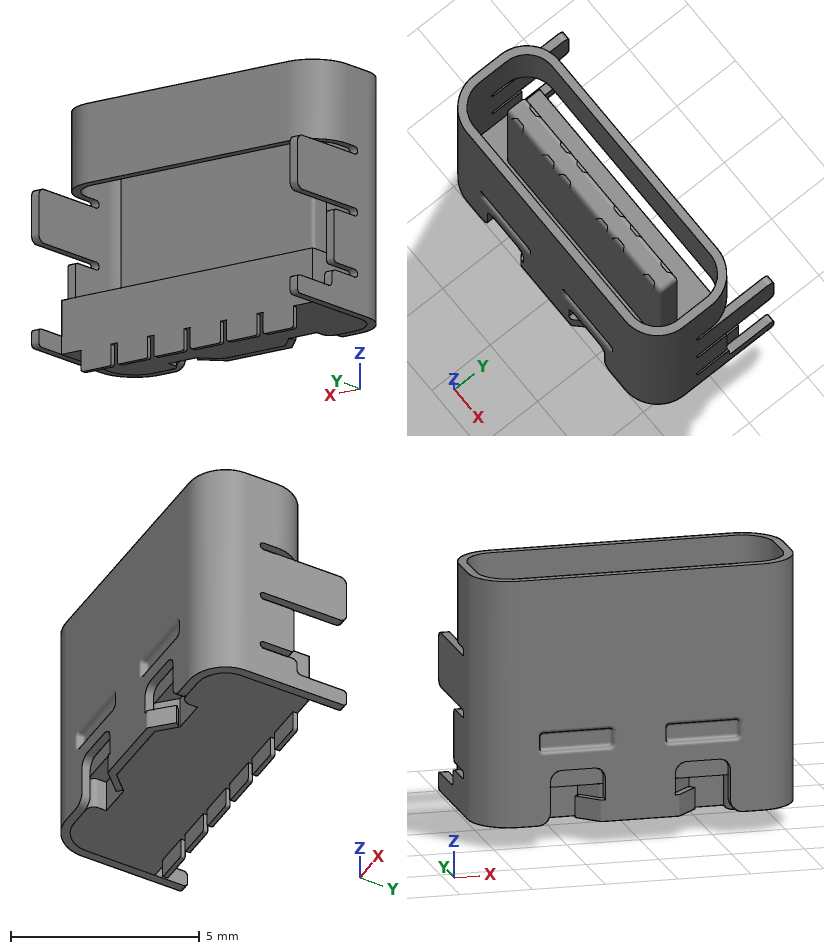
import cadquery as cq
import math

WALL = 0.25
SHELL_WIDTH = 8.9
SHELL_DEPTH = 3.16
SHELL_HEIGHT = 6.8
CORNER_RADIUS = 1.11

BACK_EDGE_Z = 4.6
LEG_REACH = 1.02
UPPER_LEG_BOTTOM = 2.89
UPPER_LEG_RADIUS = 0.22
LOWER_LEG_TOP = 0.51
LOWER_LEG_RADIUS = 0.125
CHEEK_BACK_Y = 1.01
CHEEK_RADIUS = 0.12
FOOT_BACK_Y = 1.095
FOOT_RADIUS = 0.17
LEG_ROOT_RADIUS = 0.125
SLIT_WIDTH = 0.21
SLIT_END_Y = -0.03
LOWER_SLIT_Z = 0.99

DIMPLE_X = 1.735
DIMPLE_Z = 2.28
DIMPLE_LENGTH = 2.21
DIMPLE_HEIGHT = 0.71
DIMPLE_DEPTH = 0.205
DIMPLE_RADIUS = 0.1

NOTCH_INNER_X = 0.96
NOTCH_OUTER_X = 2.47
NOTCH_TOP = 1.495
NOTCH_TOP_RADIUS = 0.32
NOTCH_FOOT_RADIUS = 0.35
TAB_HEIGHT = 0.6
TAB_BEND_X = 1.03
TAB_BEND_RADIUS = 0.09
TAB_TIP_X = 1.65
TAB_THICKNESS = 0.2

BASE_HEIGHT = 1.495
BASE_OVERHANG = 0.03
RECESS_TOP = 0.98
RECESS_BACK_Y = -0.84
RECESS_OUTER_RADIUS = 0.25
RECESS_TAB_RADIUS = 0.11
TONGUE_LENGTH = 6.5
TONGUE_THICKNESS = 0.62
TONGUE_TOP = 6.34
TONGUE_CORNER_RADIUS = 0.1
TONGUE_TIP_RADIUS = 0.125
CONTACT_X = (0.78, 1.48, 2.77)
CONTACT_WIDTH = 0.45
CONTACT_DEPTH = 0.1
CONTACT_TIP_RADIUS = 0.1
PIN_COUNT = 6
PIN_PITCH = 1.22
PIN_WIDTH = 1.015
PIN_LENGTH = 0.6
PIN_THICKNESS = 0.13
PIN_CORNER_RADIUS = 0.07

HALF_WIDTH = SHELL_WIDTH / 2
BACK_Y = SHELL_DEPTH / 2
FRONT_Y = -BACK_Y
INNER_HALF_WIDTH = HALF_WIDTH - WALL
INNER_FRONT_Y = FRONT_Y + WALL
INNER_RADIUS = CORNER_RADIUS - WALL
LEG_BACK_Y = BACK_Y + LEG_REACH
BASE_BACK_Y = BACK_Y + BASE_OVERHANG
DIAGONAL = math.sqrt(0.5)

BEND_END_X = TAB_BEND_X + TAB_BEND_RADIUS * DIAGONAL
BEND_END_Y = FRONT_Y + TAB_BEND_RADIUS * (1 - DIAGONAL)
TAB_INNER_OFFSET = BEND_END_X - BEND_END_Y - 2 * TAB_THICKNESS * DIAGONAL


def mirrored_pair(shape):
    """The +X shape together with its mirror image on the -X side."""
    return shape.union(shape.mirror("YZ"))


def block(x_range, y_range, z_range):
    """Box between the given limits."""
    (x0, x1), (y0, y1), (z0, z1) = x_range, y_range, z_range
    return cq.Workplane("XY").box(x1 - x0, y1 - y0, z1 - z0, centered=False).translate((x0, y0, z0))


def rounded_tube():
    """Full tube with rounded corners, over the whole height."""
    outer = cq.Workplane("XY").rect(SHELL_WIDTH, SHELL_DEPTH).extrude(SHELL_HEIGHT)
    outer = outer.edges("|Z").fillet(CORNER_RADIUS)
    bore = cq.Workplane("XY").rect(2 * INNER_HALF_WIDTH, SHELL_DEPTH - 2 * WALL).extrude(SHELL_HEIGHT)
    return outer.cut(bore.edges("|Z").fillet(INNER_RADIUS))


def side_wall():
    """Flat +X wall below the tube: upper leg, cheek, foot step, lower leg and their web."""
    upper_leg_top = BACK_EDGE_Z - SLIT_WIDTH
    cheek_bottom = LOWER_SLIT_Z + SLIT_WIDTH
    cheek_top = UPPER_LEG_BOTTOM - SLIT_WIDTH
    x_range = (INNER_HALF_WIDTH, HALF_WIDTH)

    upper_leg = block(x_range, (0, LEG_BACK_Y), (UPPER_LEG_BOTTOM, upper_leg_top))
    upper_leg = upper_leg.edges("|X and >Y").fillet(UPPER_LEG_RADIUS)
    cheek = block(x_range, (0, CHEEK_BACK_Y), (cheek_bottom, cheek_top))
    cheek = cheek.edges("|X and >Y").fillet(CHEEK_RADIUS)
    foot = block(x_range, (0, FOOT_BACK_Y), (0, LOWER_SLIT_Z))
    foot = foot.edges("|X and >Y and >Z").fillet(FOOT_RADIUS)
    lower_leg = block(x_range, (0, LEG_BACK_Y), (0, LOWER_LEG_TOP))
    lower_leg = lower_leg.edges("|X and >Y").fillet(LOWER_LEG_RADIUS)
    foot = foot.union(lower_leg)
    leg_root = cq.selectors.NearestToPointSelector((HALF_WIDTH - WALL / 2, FOOT_BACK_Y, LOWER_LEG_TOP))
    foot = foot.edges("|X").edges(leg_root).fillet(LEG_ROOT_RADIUS)
    web = block(x_range, (0, SLIT_END_Y + SLIT_WIDTH / 2), (0, BACK_EDGE_Z))
    return upper_leg.union(cheek).union(foot).union(web)


def slits():
    """Round-ended slits through both side walls, above the foot, cheek and upper leg."""
    radius = SLIT_WIDTH / 2
    centre_y = SLIT_END_Y + radius
    cutter = cq.Workplane("XY")
    for bottom in (LOWER_SLIT_Z, UPPER_LEG_BOTTOM - SLIT_WIDTH, BACK_EDGE_Z - SLIT_WIDTH):
        slot = block((-HALF_WIDTH, HALF_WIDTH), (centre_y, LEG_BACK_Y), (bottom, bottom + SLIT_WIDTH))
        round_end = (
            cq.Workplane("YZ", origin=(-HALF_WIDTH, centre_y, bottom + radius))
            .circle(radius)
            .extrude(SHELL_WIDTH)
        )
        cutter = cutter.union(slot).union(round_end)
    return cutter


def press_dimples(shell):
    """Two blind dimples in the front wall with rounded rims and floors."""
    wall_length = DIMPLE_LENGTH - 2 * DIMPLE_RADIUS
    wall_height = DIMPLE_HEIGHT - 2 * DIMPLE_RADIUS
    for x in (-DIMPLE_X, DIMPLE_X):
        pocket = block(
            (x - wall_length / 2, x + wall_length / 2),
            (FRONT_Y, FRONT_Y + DIMPLE_DEPTH),
            (DIMPLE_Z - wall_height / 2, DIMPLE_Z + wall_height / 2),
        )
        pocket = pocket.edges("|Y or >Y").fillet(DIMPLE_RADIUS)
        shell = shell.cut(pocket)
        rim = cq.selectors.BoxSelector(
            (x - DIMPLE_LENGTH / 2, FRONT_Y - DIMPLE_RADIUS / 2, DIMPLE_Z - DIMPLE_HEIGHT / 2),
            (x + DIMPLE_LENGTH / 2, FRONT_Y + DIMPLE_RADIUS / 2, DIMPLE_Z + DIMPLE_HEIGHT / 2),
        )
        shell = shell.faces("<Y").edges(rim).fillet(DIMPLE_RADIUS)
    return shell


def notch():
    """Cutter for the +X notch, with rounded top and a flared outer foot."""
    y_range = (FRONT_Y, INNER_FRONT_Y)
    opening = block((NOTCH_INNER_X, NOTCH_OUTER_X), y_range, (0, NOTCH_TOP))
    opening = opening.edges("|Y and >Z").fillet(NOTCH_TOP_RADIUS)
    flare = block((NOTCH_OUTER_X, NOTCH_OUTER_X + NOTCH_FOOT_RADIUS), y_range, (0, NOTCH_FOOT_RADIUS))
    round_foot = (
        cq.Workplane("XZ", origin=(NOTCH_OUTER_X + NOTCH_FOOT_RADIUS, INNER_FRONT_Y, NOTCH_FOOT_RADIUS))
        .circle(NOTCH_FOOT_RADIUS)
        .extrude(WALL)
    )
    return opening.union(flare.cut(round_foot))


def tab():
    """Tab bent back at 45 degrees from the inner edge of the +X notch."""
    half_bend = math.radians(45) / 2
    bend_middle = (
        TAB_BEND_X + TAB_BEND_RADIUS * math.sin(half_bend),
        FRONT_Y + TAB_BEND_RADIUS * (1 - math.cos(half_bend)),
    )
    tip_y = BEND_END_Y + TAB_TIP_X - BEND_END_X
    return (
        cq.Workplane("XY")
        .moveTo(NOTCH_INNER_X, FRONT_Y)
        .lineTo(TAB_BEND_X, FRONT_Y)
        .threePointArc(bend_middle, (BEND_END_X, BEND_END_Y))
        .lineTo(TAB_TIP_X, tip_y)
        .lineTo(TAB_TIP_X - TAB_THICKNESS * DIAGONAL, tip_y + TAB_THICKNESS * DIAGONAL)
        .lineTo(TAB_INNER_OFFSET + INNER_FRONT_Y, INNER_FRONT_Y)
        .lineTo(NOTCH_INNER_X, INNER_FRONT_Y)
        .close()
        .extrude(TAB_HEIGHT)
    )


def make_shell():
    """Bent sheet shell: tube, side legs, slits, dimples, notches and tabs."""
    open_back = block((-HALF_WIDTH, HALF_WIDTH), (0, BACK_Y), (0, BACK_EDGE_Z))
    shell = rounded_tube().cut(open_back)
    shell = shell.union(mirrored_pair(side_wall())).cut(slits())
    shell = press_dimples(shell)
    shell = shell.cut(mirrored_pair(notch()))
    return shell.union(mirrored_pair(tab()))


def base():
    """Block that closes the bottom of the shell, rounded to fit its front corners."""
    outline = block(
        (-INNER_HALF_WIDTH, INNER_HALF_WIDTH), (INNER_FRONT_Y, BASE_BACK_Y), (0, BASE_HEIGHT)
    )
    return outline.edges("|Z and <Y").fillet(INNER_RADIUS)


def tab_recess():
    """Cutter for the +X recess behind the notch; its inner wall lies on the tab."""
    return (
        cq.Workplane("XY")
        .moveTo(TAB_INNER_OFFSET + INNER_FRONT_Y, INNER_FRONT_Y)
        .lineTo(TAB_INNER_OFFSET + RECESS_BACK_Y, RECESS_BACK_Y)
        .lineTo(NOTCH_OUTER_X, RECESS_BACK_Y)
        .lineTo(NOTCH_OUTER_X, INNER_FRONT_Y)
        .close()
        .extrude(RECESS_TOP)
    )


def round_recess_mouths(body):
    """Round the four upright edges where the recesses open to the front."""
    mouth_height = RECESS_TOP / 2
    mouth_edges = (
        (TAB_INNER_OFFSET + INNER_FRONT_Y, RECESS_TAB_RADIUS),
        (NOTCH_OUTER_X, RECESS_OUTER_RADIUS),
    )
    for x, radius in mouth_edges:
        for side in (-1, 1):
            mouth = cq.selectors.NearestToPointSelector((side * x, INNER_FRONT_Y, mouth_height))
            body = body.edges("|Z").edges(mouth).fillet(radius)
    return body


def rounded_tongue(tip_radius):
    """Tongue with rounded upright corners and the given rounding at its tip."""
    plate = (
        cq.Workplane("XY", origin=(0, 0, BASE_HEIGHT))
        .rect(TONGUE_LENGTH, TONGUE_THICKNESS)
        .extrude(TONGUE_TOP - BASE_HEIGHT)
    )
    plate = plate.edges("|Z").fillet(TONGUE_CORNER_RADIUS)
    return plate.faces(">Z").edges().fillet(tip_radius)


def contact_wedges():
    """Prisms, narrowing inwards at 45 degrees, that mark out the contacts on both faces."""
    face_y = TONGUE_THICKNESS / 2
    half = CONTACT_WIDTH / 2
    wedges = cq.Workplane("XY")
    for x in CONTACT_X:
        profile = [
            (x - half, -face_y),
            (x + half, -face_y),
            (x + half - CONTACT_DEPTH, CONTACT_DEPTH - face_y),
            (x - half + CONTACT_DEPTH, CONTACT_DEPTH - face_y),
        ]
        wedge = cq.Workplane("XY", origin=(0, 0, BASE_HEIGHT)).polyline(profile).close()
        wedges = wedges.union(wedge.extrude(TONGUE_TOP - BASE_HEIGHT))
    wedges = mirrored_pair(wedges)
    return wedges.union(wedges.mirror("XZ"))


def pins():
    """Row of flat pins below the back edge of the base."""
    row = cq.Workplane("XY")
    for i in range(PIN_COUNT):
        x = (i - (PIN_COUNT - 1) / 2) * PIN_PITCH
        pin = block(
            (x - PIN_WIDTH / 2, x + PIN_WIDTH / 2),
            (BASE_BACK_Y - PIN_THICKNESS, BASE_BACK_Y),
            (-PIN_LENGTH, 0),
        )
        row = row.union(pin.edges("|Y and <Z").fillet(PIN_CORNER_RADIUS))
    return row


def make_insulator():
    """Moulded base and tongue carrying the contacts and pins."""
    body = base().cut(mirrored_pair(tab_recess()))
    body = round_recess_mouths(body)
    body = body.union(pins()).union(rounded_tongue(TONGUE_TIP_RADIUS))
    wedges = contact_wedges()
    contacts = rounded_tongue(CONTACT_TIP_RADIUS).intersect(wedges)
    return body.cut(wedges).union(contacts, clean=False)


shell = make_shell()
insulator = make_insulator()
result = cq.Compound.makeCompound([shell.solids().val(), insulator.solids().val()])